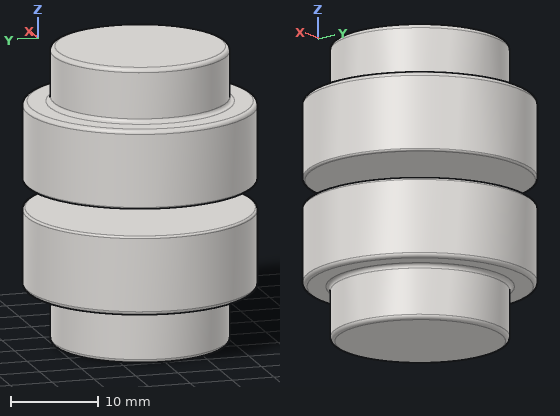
import cadquery as cq

flange_diameter = 26.92
boss_diameter = 20.57
overall_height = 34.92
body_gap = 3.175
boss_height = 6.477
fillet_radius = 0.508
face_edge_radius = 0.254

body_height = (overall_height - body_gap) / 2
flange_thickness = body_height - boss_height


def make_stepped_disc(direction):
    """Flange facing the gap, with a coaxial boss pointing up (direction 1) or down (direction -1)."""
    flange = (
        cq.Workplane("XY")
        .circle(flange_diameter / 2)
        .extrude(flange_thickness)
        .faces("<Z").edges().fillet(face_edge_radius)
        .faces(">Z").edges().fillet(fillet_radius)
    )
    boss = (
        cq.Workplane("XY", origin=(0, 0, flange_thickness))
        .circle(boss_diameter / 2)
        .extrude(boss_height)
        .faces(">Z").edges().fillet(fillet_radius)
    )

    step_face = flange.union(boss).faces("+Z").faces("<Z")
    disc = step_face.edges(cq.selectors.RadiusNthSelector(0)).fillet(fillet_radius)

    disc = disc.translate((0, 0, body_gap / 2))
    if direction < 0:
        disc = disc.rotate((0, 0, 0), (1, 0, 0), 180)
    return disc


discs = [make_stepped_disc(direction) for direction in (1, -1)]

result = cq.Compound.makeCompound([disc.val() for disc in discs])